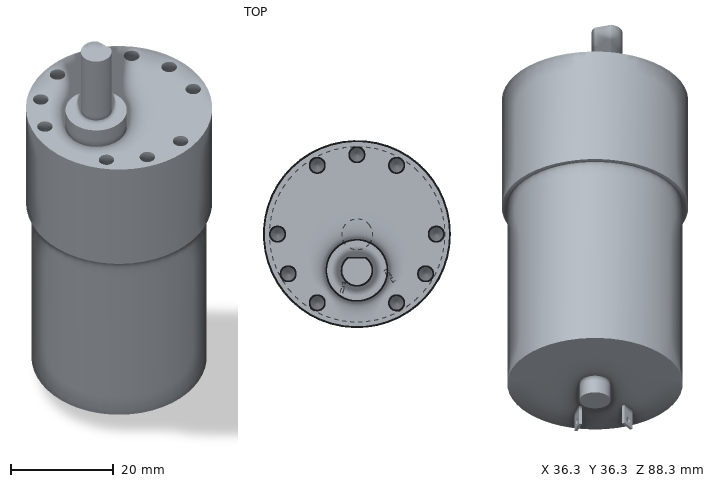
import cadquery as cq
import math

motor_length = 40.2
gearbox_length = 24.55
boss_length = 4.2
terminal_length = 4.1
stub_length = 3.8
overall_length = 88.3
shaft_length = overall_length - terminal_length - motor_length - gearbox_length - boss_length

motor_diameter = 34.2
gearbox_diameter = 36.3
boss_diameter = 11.9
shaft_diameter = 6.0
stub_diameter = 6.0

shaft_offset = 7.1
shaft_flat_height = 5.5

mount_circle_radius = 15.5
mount_hole_diameter = 3.0
mount_hole_depth = 6.0
drill_tip_angle = 118
mount_hole_angles = [angle for angle in range(0, 360, 30) if angle not in (30, 150, 270)]

terminal_width = 2.8
terminal_thickness = 0.5
terminal_positions = [(11.1, -105), (10.25, -52)]
terminal_hole_diameter = 1.15
terminal_hole_drop = 2.7


def cylinder(diameter, length, z, y=0):
    return cq.Workplane("XY", origin=(0, y, z)).circle(diameter / 2).extrude(length)


def make_shaft(base_z):
    shaft = cylinder(shaft_diameter, shaft_length, base_z, -shaft_offset)
    flat_y = -shaft_offset - shaft_diameter / 2 + shaft_flat_height
    beyond_flat = (
        cq.Workplane("XY", origin=(0, flat_y, base_z))
        .rect(shaft_diameter, shaft_diameter)
        .extrude(shaft_length)
        .translate((0, shaft_diameter / 2, 0))
    )
    return shaft.cut(beyond_flat)


def make_mount_hole(top_z):
    radius = mount_hole_diameter / 2
    tip_depth = radius / math.tan(math.radians(drill_tip_angle / 2))
    profile = [
        (0, 0),
        (radius, 0),
        (radius, -mount_hole_depth),
        (0, -mount_hole_depth - tip_depth),
    ]
    hole = cq.Workplane("XZ").polyline(profile).close().revolve(360, (0, 0, 0), (0, 1, 0))
    return hole.translate((mount_circle_radius, 0, top_z))


def make_gearbox():
    top_z = motor_length + gearbox_length
    gearbox = cylinder(gearbox_diameter, gearbox_length, motor_length)
    mount_hole = make_mount_hole(top_z)
    for angle in mount_hole_angles:
        gearbox = gearbox.cut(mount_hole.rotate((0, 0, 0), (0, 0, 1), angle))
    boss = cylinder(boss_diameter, boss_length, top_z, -shaft_offset)
    return gearbox.union(boss).union(make_shaft(top_z + boss_length))


def make_terminal(radius, angle):
    blade = (
        cq.Workplane("XY")
        .box(terminal_width, terminal_thickness, terminal_length)
        .translate((radius, 0, -terminal_length / 2))
    )
    hole = (
        cq.Workplane("XZ", origin=(radius, 0, -terminal_hole_drop))
        .circle(terminal_hole_diameter / 2)
        .extrude(terminal_thickness, both=True)
    )
    return blade.cut(hole).rotate((0, 0, 0), (0, 0, 1), angle)


def make_motor():
    motor = cylinder(motor_diameter, motor_length, 0)
    motor = motor.union(cylinder(stub_diameter, stub_length, -stub_length))
    for radius, angle in terminal_positions:
        motor = motor.union(make_terminal(radius, angle))
    return motor


gearbox = make_gearbox()
motor = make_motor()

result = cq.Compound.makeCompound([gearbox.val(), motor.val()])